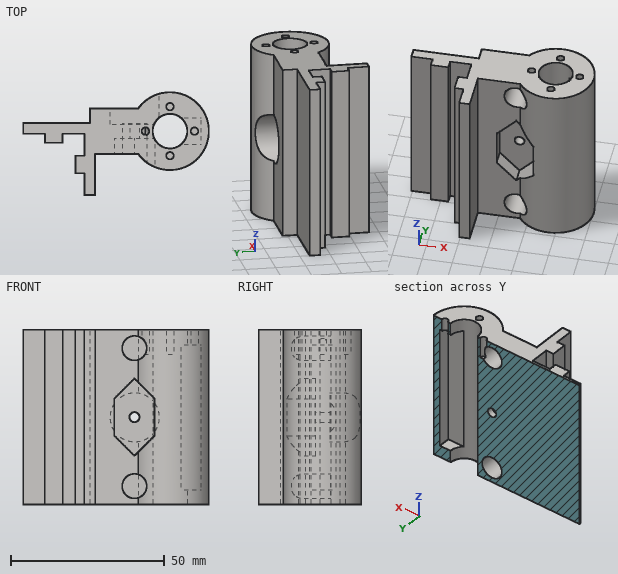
import cadquery as cq

height = 57.0
barrel_radius = 12.75
barrel_bore_diameter = 11.2

leg_length = 20.0
leg_thickness = 3.5
key_width = 5.8
key_height = 3.0
corner_x = -27.9
corner_y = -0.85
key_margin = (leg_length - key_width) / 2

block_half_width = 7.45
block_left_x = corner_x + leg_thickness / 2

screw_count = 4
screw_diameter = 2.4
screw_circle_radius = 8.0
screw_depth = 8.0

recess_x = -11.6
pocket_depth = 5.15
side_bore_depth = 10.0
side_bore_diameter = 8.0
side_bore_offset_z = 22.5
hex_width = 13.1
hex_straight_height = 12.1
back_pocket_diameter = 16.0
cross_hole_diameter = 3.2

chamber_reach = 10.0
chamber_width = 8.6
chamber_height = 47.3


def upright_box(x_min, x_max, y_min, y_max, box_height=height):
    """Box between the given X and Y limits, centred on Z = 0."""
    box = cq.Workplane("XY").box(x_max - x_min, y_max - y_min, box_height)
    return box.translate(((x_min + x_max) / 2, (y_min + y_max) / 2, 0))


def upright_cylinder(radius):
    """Full-height cylinder on the barrel axis."""
    return cq.Workplane("XY").circle(radius).extrude(height / 2, both=True)


def bracket():
    """Two legs and their keys, sharing the inner corner."""
    outer_x = corner_x + leg_thickness
    outer_y = corner_y + leg_thickness
    key_x = corner_x - key_margin
    key_y = corner_y - key_margin
    leg_along_x = upright_box(corner_x - leg_length, outer_x, corner_y, outer_y)
    leg_along_y = upright_box(corner_x, outer_x, corner_y - leg_length, outer_y)
    key_on_x_leg = upright_box(key_x - key_width, key_x, corner_y - key_height, corner_y)
    key_on_y_leg = upright_box(corner_x - key_height, corner_x, key_y - key_width, key_y)
    return leg_along_x.union(leg_along_y).union(key_on_x_leg).union(key_on_y_leg)


def screw_holes():
    """Blind holes spaced evenly around the bore."""
    return (
        cq.Workplane("XY", origin=(0, 0, height / 2))
        .polarArray(screw_circle_radius, 0, 360, screw_count)
        .circle(screw_diameter / 2)
        .extrude(-screw_depth)
    )


def recess_plane(y_max, z=0):
    """XZ workplane on the recess line; extruding from it runs toward -Y."""
    return cq.Workplane("XZ", origin=(recess_x, y_max, z))


def rod_along_y(diameter, y_min, y_max, z=0):
    """Cylinder along Y on the recess line."""
    return recess_plane(y_max, z).circle(diameter / 2).extrude(y_max - y_min)


def hex_pocket(floor_y):
    """Elongated hexagon with vertical sides and 45 degree tips, open toward -Y."""
    side_x = hex_width / 2
    side_z = hex_straight_height / 2
    tip_z = side_z + side_x
    outline = [
        (-side_x, -side_z),
        (0, -tip_z),
        (side_x, -side_z),
        (side_x, side_z),
        (0, tip_z),
        (-side_x, side_z),
    ]
    return recess_plane(floor_y).polyline(outline).close().extrude(floor_y + barrel_radius)


block = upright_box(block_left_x, 0, -block_half_width, block_half_width)
result = upright_cylinder(barrel_radius).union(block).union(bracket())

result = result.cut(upright_cylinder(barrel_bore_diameter / 2))
result = result.cut(
    upright_box(0, chamber_reach, -chamber_width / 2, chamber_width / 2, chamber_height)
)
result = result.cut(screw_holes())

side_bore_floor_y = side_bore_depth - block_half_width
for bore_z in (-side_bore_offset_z, side_bore_offset_z):
    result = result.cut(
        rod_along_y(side_bore_diameter, -barrel_radius, side_bore_floor_y, bore_z)
    )

pocket_floor_y = block_half_width - pocket_depth
result = result.cut(hex_pocket(-pocket_floor_y))
result = result.cut(rod_along_y(back_pocket_diameter, pocket_floor_y, barrel_radius))
result = result.cut(rod_along_y(cross_hole_diameter, -barrel_radius, barrel_radius))